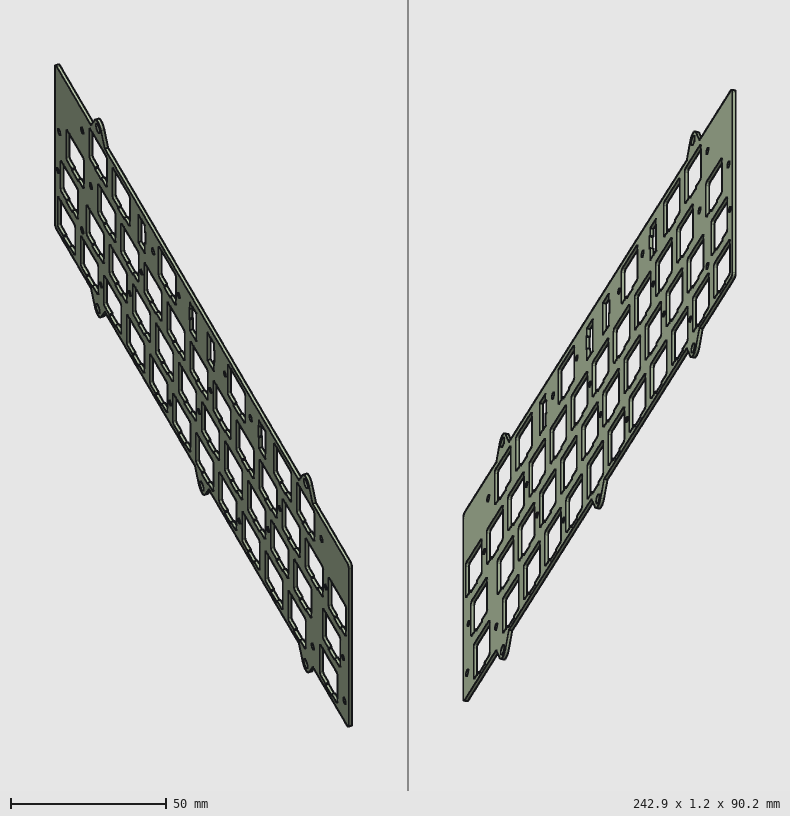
import cadquery as cq
import math

KEY_PITCH = 19.05
PLATE_WIDTH = 12.75 * KEY_PITCH
PLATE_HEIGHT = 4 * KEY_PITCH
PLATE_THICKNESS = 1.2
PLATE_CORNER_RADIUS = 1.5
OVERALL_HEIGHT = 90.15

SWITCH_WIDTH = 14.48
SWITCH_HEIGHT = 14.15
SWITCH_CORNER_RADIUS = 0.94
NOTCH_WIDTH = 5.2
NOTCH_DEPTH = 0.7

SLOT_WIDTH = 5.3
SLOT_TOP = 5.5
SLOT_BOTTOM = -7.4
SLOT_RECESS_HEIGHT = 5.0
SLOT_RECESS_DEPTH = 0.5
INNER_SLOT_X = 7.25
OUTER_SLOT_X = 49.8

TAB_BASE_WIDTH = 11.5
TAB_TIP_RADIUS = 3.0
TAB_HOLE_DIAMETER = 3.2
TAB_SPACING = 85.9
TAB_OVERLAP = 1.0

SMALL_HOLE_DIAMETER = 1.8
LARGE_HOLE_DIAMETER = 2.2
WIDE_KEY_HOLE_OFFSET = 13.1
TOP_ROW_HOLE_OFFSET = 11.8
LOWER_LEFT_HOLE_Z = -18.0

ROW_Z = [KEY_PITCH * row for row in (1.5, 0.5, -0.5, -1.5)]
WIDE_KEY = 5.5
TOP_ROW_OUTER_KEY = 4.5
TOP_ROW_INNER_KEY = 1.5
TOP_ROW_HALF = [TOP_ROW_INNER_KEY, 3.5, TOP_ROW_OUTER_KEY]
KEY_COLUMNS = [
    [side * column for side in (-1, 1) for column in TOP_ROW_HALF],
    [-WIDE_KEY] + [-4.125 + i for i in range(11)],
    [-5.75] + [-4.625 + i for i in range(10)] + [5.625],
    [-5.875 + i for i in range(11)] + [WIDE_KEY],
]

SMALL_HOLE_COLUMNS = [
    [-1.0, 1.0],
    [-2.625, 0.375, 3.375, 5.375],
    [-6.25, -3.125, -0.125, 2.875, 6.125],
    [-4.375, -1.375, 1.625],
]

TABS = [(-TAB_SPACING, 1), (TAB_SPACING, 1), (-TAB_SPACING, -1), (0, -1), (TAB_SPACING, -1)]
TAB_TIP_Z = OVERALL_HEIGHT / 2 - TAB_TIP_RADIUS


def extruded(sketch):
    """Extrude an XZ sketch to the plate thickness, half to each side."""
    return sketch.extrude(PLATE_THICKNESS / 2, both=True)


def block(left, right, bottom, top):
    """Plate-thick block between the given X and Z limits."""
    sketch = cq.Workplane("XZ").center((left + right) / 2, (bottom + top) / 2)
    return extruded(sketch.rect(right - left, top - bottom))


def rounded_block(width, height, radius):
    """Centred block with rounded corners."""
    return block(-width / 2, width / 2, -height / 2, height / 2).edges("|Y").fillet(radius)


def round_pins(centres, diameter):
    """Cylinders through the plate at the given (X, Z) centres."""
    return extruded(cq.Workplane("XZ").pushPoints(centres).circle(diameter / 2))


def tab(x, side):
    """Mounting tab at X on the top (side=1) or bottom (side=-1) edge."""
    half_base = TAB_BASE_WIDTH / 2
    base_z = PLATE_HEIGHT / 2
    tip_rise = TAB_TIP_Z - base_z
    flank_angle = math.atan2(tip_rise, half_base)
    flank_angle += math.asin(TAB_TIP_RADIUS / math.hypot(half_base, tip_rise))
    tangent_x = TAB_TIP_RADIUS * math.sin(flank_angle)
    tangent_z = TAB_TIP_Z + TAB_TIP_RADIUS * math.cos(flank_angle)
    root_z = base_z - TAB_OVERLAP
    outline = (
        cq.Workplane("XZ")
        .moveTo(x - half_base, side * base_z)
        .lineTo(x - tangent_x, side * tangent_z)
        .threePointArc((x, side * OVERALL_HEIGHT / 2), (x + tangent_x, side * tangent_z))
        .lineTo(x + half_base, side * base_z)
        .lineTo(x + half_base, side * root_z)
        .lineTo(x - half_base, side * root_z)
        .close()
    )
    return extruded(outline)


def blank_plate():
    """Rounded plate with its mounting tabs, before any cutting."""
    plate = rounded_block(PLATE_WIDTH, PLATE_HEIGHT, PLATE_CORNER_RADIUS)
    for x, side in TABS:
        plate = plate.union(tab(x, side))
    return plate


def switch_cutter():
    """Switch cutout centred on the origin."""
    body = rounded_block(SWITCH_WIDTH, SWITCH_HEIGHT, SWITCH_CORNER_RADIUS)
    notch_bottom = -SWITCH_HEIGHT / 2 - NOTCH_DEPTH
    return body.union(block(-NOTCH_WIDTH / 2, NOTCH_WIDTH / 2, notch_bottom, 0))


def slot_cutter(recess_side):
    """Stabilizer slot about the origin, recessed toward +X (1) or -X (-1)."""
    body = block(-SLOT_WIDTH / 2, SLOT_WIDTH / 2, SLOT_BOTTOM, SLOT_TOP)
    half_recess = SLOT_RECESS_HEIGHT / 2
    recess_end = recess_side * (SLOT_WIDTH / 2 + SLOT_RECESS_DEPTH)
    return body.union(block(min(0, recess_end), max(0, recess_end), -half_recess, half_recess))


def switch_cutters():
    cutter = switch_cutter()
    return [
        cutter.translate((column * KEY_PITCH, 0, z))
        for columns, z in zip(KEY_COLUMNS, ROW_Z)
        for column in columns
    ]


def slot_cutters():
    """Two slots in each half of the top row, mirrored about X = 0."""
    cutters = []
    for side in (-1, 1):
        cutters.append(slot_cutter(side).translate((side * INNER_SLOT_X, 0, ROW_Z[0])))
        cutters.append(slot_cutter(-side).translate((side * OUTER_SLOT_X, 0, ROW_Z[0])))
    return cutters


def hole_cutters():
    """Tab holes and both sizes of screw hole."""
    tab_holes = [(x, side * TAB_TIP_Z) for x, side in TABS]
    small_holes = [
        (column * KEY_PITCH, z)
        for columns, z in zip(SMALL_HOLE_COLUMNS, ROW_Z)
        for column in columns
    ]

    wide_key_x = WIDE_KEY * KEY_PITCH
    top_outer_x = TOP_ROW_OUTER_KEY * KEY_PITCH + WIDE_KEY_HOLE_OFFSET
    top_inner_x = TOP_ROW_INNER_KEY * KEY_PITCH + TOP_ROW_HOLE_OFFSET
    large_holes = [(-top_outer_x, LOWER_LEFT_HOLE_Z)]
    for side in (-1, 1):
        large_holes.append((side * top_outer_x, ROW_Z[0]))
        large_holes.append((side * top_inner_x, ROW_Z[0]))
        large_holes.append((-wide_key_x + side * WIDE_KEY_HOLE_OFFSET, ROW_Z[1]))
        large_holes.append((wide_key_x + side * WIDE_KEY_HOLE_OFFSET, ROW_Z[3]))

    return [
        round_pins(tab_holes, TAB_HOLE_DIAMETER),
        round_pins(small_holes, SMALL_HOLE_DIAMETER),
        round_pins(large_holes, LARGE_HOLE_DIAMETER),
    ]


cutters = switch_cutters() + slot_cutters() + hole_cutters()
cutter_solids = [solid for cutter in cutters for solid in cutter.vals()]
result = cq.Workplane(blank_plate().val().cut(*cutter_solids))